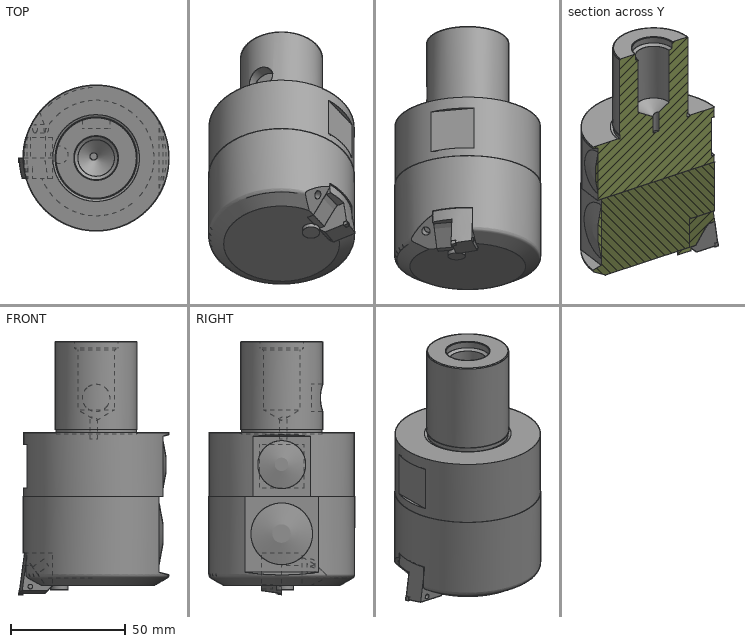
import cadquery as cq
import math


SHANK_RADIUS = 18.0
SHANK_LENGTH = 40.0
SHANK_CHAMFER = 0.4
NECK_RADIUS = 17.7
NECK_HEIGHT = 1.4
RELIEF_RADIUS = 19.0
RELIEF_DEPTH = 0.5
HOLDER_RADIUS = 31.85
HOLDER_LENGTH = 28.0

COUNTERBORE_RADIUS = 9.5
COUNTERBORE_DEPTH = 3.0
BORE_RADIUS = 8.0
BORE_DEPTH = 30.0
SEAT_ANGLE = 30.0
MOUTH_CHAMFER = 0.3
DRILL_POINT_ANGLE = 118.0
COOLANT_RADIUS = 1.6
COOLANT_X = -1.1
COOLANT_Y = 0.7
COOLANT_DEPTH = 8.0

LOCK_RADIUS = 6.0
LOCK_Z = 15.2
LOCK_DEPTH = 5.0

SQUARE_WIDTH = 19.3
SQUARE_TOP = -5.2
SQUARE_BOTTOM = -24.2

HEAD_RADIUS = 32.0
HEAD_TOP = -HOLDER_LENGTH
HEAD_BOTTOM = -67.0
HEAD_BEVEL_ANGLE = 60.0
HEAD_ROUND_TOP = -62.0
HEAD_ROUND_RADIUS = 2.0

FLAT_END_ANGLE = 15.0
HOLDER_FLAT_X = 29.3
HOLDER_FLAT_TOP = -1.6
HOLDER_DIAL_RADIUS = 10.5
HOLDER_DIAL_HEIGHT = 1.4
HOLDER_DIAL_Z = -14.0
HEAD_FLAT_X = 27.6
HEAD_FLAT_BOTTOM = -61.1
HEAD_DIAL_RADIUS = 13.5
HEAD_DIAL_HEIGHT = 1.75
HEAD_DIAL_Z = -44.3
DIAL_CONE_ANGLE = 10.5

SLOT_HALF_WIDTH = 8.95
SLOT_TOP = -52.7
SLOT_FLOOR_X = -19.0
CARTRIDGE_TOP_RADIUS = 31.4
CARTRIDGE_TIP_RADIUS = 33.8
TIP_Z = -71.0
CARTRIDGE_EDGE_Z = -70.5
CARTRIDGE_HEEL_Z = -69.2
PIN_HOLE_RADIUS = 1.0
PIN_HOLE_DEPTH = 5.0
PIN_HOLE_X = -28.8
PIN_HOLE_Z = -67.4

GULLET_X = -30.75
GULLET_Z = -54.6
GULLET_ANGLE = 35.0
ROOF_Z = -58.1
ROOF_CORNER_BEVEL = 1.7
NOZZLE_RADIUS = 1.8
NOZZLE_Y = 12.8
NOZZLE_Z = -60.3
NOZZLE_DEPTH = 6.0

TIP_OUTER_X = -34.05
TIP_LENGTH = 2.0
TIP_THICKNESS = 2.0
TIP_HEIGHT = 2.0
TIP_SETBACK = 0.4
SCREW_RADIUS = 3.8
SCREW_HEIGHT = 1.9
SCREW_X = -16.1
SCREW_Y = 1.4

REACH = 40.0


def box_between(x_range, y_range, z_range):
    """Box filling the given ranges of X, Y and Z."""
    sizes = [high - low for low, high in (x_range, y_range, z_range)]
    corner = (x_range[0], y_range[0], z_range[0])
    return cq.Workplane("XY").box(*sizes, centered=False).translate(corner)


def revolved(profile):
    """Turn an (X, Z) profile about the Z axis."""
    return profile.close().revolve(360, (0, 0, 0), (0, 1, 0))


def gullet_x(z):
    """X of the gullet plane at height z."""
    return GULLET_X + (GULLET_Z - z) * math.tan(math.radians(GULLET_ANGLE))


def make_dial_flat(flat_x, closed_z, open_z):
    """Cut for a +X flat that runs out at open_z and ends in a slope at closed_z."""
    depth = REACH - flat_x
    rise = math.copysign(depth * math.tan(math.radians(FLAT_END_ANGLE)), closed_z - open_z)
    return (
        cq.Workplane("XZ")
        .moveTo(flat_x, open_z)
        .lineTo(flat_x, closed_z)
        .lineTo(REACH, closed_z + rise)
        .lineTo(REACH, open_z)
        .close()
        .extrude(REACH, both=True)
    )


def make_bore():
    floor_z = SHANK_LENGTH - BORE_DEPTH
    point_depth = BORE_RADIUS / math.tan(math.radians(DRILL_POINT_ANGLE / 2))
    seat_outer_z = SHANK_LENGTH - COUNTERBORE_DEPTH
    seat_drop = (COUNTERBORE_RADIUS - BORE_RADIUS) * math.tan(math.radians(SEAT_ANGLE))
    bore = revolved(
        cq.Workplane("XZ")
        .moveTo(0, SHANK_LENGTH)
        .lineTo(COUNTERBORE_RADIUS + MOUTH_CHAMFER, SHANK_LENGTH)
        .lineTo(COUNTERBORE_RADIUS, SHANK_LENGTH - MOUTH_CHAMFER)
        .lineTo(COUNTERBORE_RADIUS, seat_outer_z)
        .lineTo(BORE_RADIUS, seat_outer_z - seat_drop)
        .lineTo(BORE_RADIUS, floor_z)
        .lineTo(0, floor_z - point_depth)
    )
    coolant_hole = (
        cq.Workplane("XY", origin=(COOLANT_X, COOLANT_Y, floor_z))
        .circle(COOLANT_RADIUS)
        .extrude(-point_depth - COOLANT_DEPTH)
    )
    return bore.union(coolant_hole)


def make_holder():
    holder = revolved(
        cq.Workplane("XZ")
        .moveTo(0, -HOLDER_LENGTH)
        .lineTo(HOLDER_RADIUS, -HOLDER_LENGTH)
        .lineTo(HOLDER_RADIUS, 0)
        .lineTo(RELIEF_RADIUS, 0)
        .lineTo(NECK_RADIUS, -RELIEF_DEPTH)
        .lineTo(NECK_RADIUS, NECK_HEIGHT)
        .lineTo(SHANK_RADIUS, NECK_HEIGHT)
        .lineTo(SHANK_RADIUS, SHANK_LENGTH - SHANK_CHAMFER)
        .lineTo(SHANK_RADIUS - SHANK_CHAMFER, SHANK_LENGTH)
        .lineTo(0, SHANK_LENGTH)
    )
    lock_hole = (
        cq.Workplane("XZ", origin=(0, SHANK_RADIUS - LOCK_DEPTH, LOCK_Z))
        .circle(LOCK_RADIUS)
        .extrude(-REACH)
    )
    half_width = SQUARE_WIDTH / 2
    square_x = -math.sqrt(HOLDER_RADIUS**2 - half_width**2)
    square_flat = box_between(
        (-REACH, square_x), (-half_width, half_width), (SQUARE_BOTTOM, SQUARE_TOP)
    )
    dial_flat = make_dial_flat(HOLDER_FLAT_X, HOLDER_FLAT_TOP, -HOLDER_LENGTH)
    return holder.cut(make_bore()).cut(lock_hole).cut(square_flat).cut(dial_flat)


def make_gullet():
    """Everything outside the sloping gullet plane, on the +Y side of the slot."""
    return (
        cq.Workplane("XZ", origin=(0, SLOT_HALF_WIDTH, 0))
        .moveTo(gullet_x(SLOT_TOP + REACH), SLOT_TOP + REACH)
        .lineTo(gullet_x(TIP_Z), TIP_Z)
        .lineTo(gullet_x(SLOT_TOP + REACH), TIP_Z)
        .close()
        .extrude(-REACH)
    )


def make_nozzle_hole():
    """Blind hole square to the gullet plane."""
    angle = math.radians(GULLET_ANGLE)
    inward = cq.Vector(math.cos(angle), 0, math.sin(angle))
    mouth = cq.Vector(gullet_x(NOZZLE_Z), NOZZLE_Y, NOZZLE_Z)
    start = mouth - inward * NOZZLE_RADIUS
    return cq.Workplane(
        cq.Solid.makeCylinder(NOZZLE_RADIUS, NOZZLE_DEPTH + NOZZLE_RADIUS, start, inward)
    )


def make_slot():
    return box_between(
        (-REACH, SLOT_FLOOR_X), (-SLOT_HALF_WIDTH, SLOT_HALF_WIDTH), (HEAD_BOTTOM, SLOT_TOP)
    )


def make_head():
    bevel = math.radians(HEAD_BEVEL_ANGLE)
    round_centre_x = HEAD_RADIUS - HEAD_ROUND_RADIUS
    round_end_x = round_centre_x + HEAD_ROUND_RADIUS * math.cos(bevel)
    round_end_z = HEAD_ROUND_TOP - HEAD_ROUND_RADIUS * math.sin(bevel)
    round_mid_x = round_centre_x + HEAD_ROUND_RADIUS * math.cos(bevel / 2)
    round_mid_z = HEAD_ROUND_TOP - HEAD_ROUND_RADIUS * math.sin(bevel / 2)
    bottom_radius = round_end_x - (round_end_z - HEAD_BOTTOM) * math.tan(bevel)
    head = revolved(
        cq.Workplane("XZ")
        .moveTo(0, HEAD_TOP)
        .lineTo(HEAD_RADIUS, HEAD_TOP)
        .lineTo(HEAD_RADIUS, HEAD_ROUND_TOP)
        .threePointArc((round_mid_x, round_mid_z), (round_end_x, round_end_z))
        .lineTo(bottom_radius, HEAD_BOTTOM)
        .lineTo(0, HEAD_BOTTOM)
    )
    dial_flat = make_dial_flat(HEAD_FLAT_X, HEAD_FLAT_BOTTOM, HEAD_TOP)
    return head.cut(dial_flat).cut(make_slot()).cut(make_gullet()).cut(make_nozzle_hole())


def make_dial(base_x, centre_z, radius, height):
    """Low cone with a flat top that lies on a +X flat."""
    top_radius = radius - height / math.tan(math.radians(DIAL_CONE_ANGLE))
    axis_point = cq.Vector(base_x, 0, centre_z)
    return cq.Workplane(cq.Solid.makeCone(radius, top_radius, height, axis_point, cq.Vector(1, 0, 0)))


def make_cartridge_notch():
    """Opening in front of the +Y half: the gullet plane behind, a flat roof, a bevel between."""
    bevel_end_z = ROOF_Z - ROOF_CORNER_BEVEL
    bevel_end_x = gullet_x(bevel_end_z)
    return (
        cq.Workplane("XZ")
        .moveTo(bevel_end_x, bevel_end_z)
        .lineTo(bevel_end_x - ROOF_CORNER_BEVEL, ROOF_Z)
        .lineTo(-REACH, ROOF_Z)
        .lineTo(-REACH, HEAD_BOTTOM)
        .lineTo(gullet_x(HEAD_BOTTOM), HEAD_BOTTOM)
        .close()
        .extrude(-SLOT_HALF_WIDTH)
    )


def make_cartridge_foot():
    """Part below the head: sloped underside towards -Y and a 45 degree inner end."""
    foot = (
        cq.Workplane("YZ", origin=(SLOT_FLOOR_X, 0, 0))
        .moveTo(0, HEAD_BOTTOM)
        .lineTo(-SLOT_HALF_WIDTH, HEAD_BOTTOM)
        .lineTo(-SLOT_HALF_WIDTH, CARTRIDGE_HEEL_Z)
        .lineTo(0, CARTRIDGE_EDGE_Z)
        .close()
        .extrude(-REACH)
    )
    drop = HEAD_BOTTOM - TIP_Z
    inner_end = (
        cq.Workplane("XZ")
        .moveTo(SLOT_FLOOR_X, HEAD_BOTTOM)
        .lineTo(SLOT_FLOOR_X, TIP_Z)
        .lineTo(SLOT_FLOOR_X - drop, TIP_Z)
        .close()
        .extrude(SLOT_HALF_WIDTH)
    )
    return foot.cut(inner_end)


def make_cartridge():
    outer_cone = revolved(
        cq.Workplane("XZ")
        .moveTo(0, SLOT_TOP)
        .lineTo(CARTRIDGE_TOP_RADIUS, SLOT_TOP)
        .lineTo(CARTRIDGE_TIP_RADIUS, TIP_Z)
        .lineTo(0, TIP_Z)
    )
    pin_hole = (
        cq.Workplane("XZ", origin=(PIN_HOLE_X, -SLOT_HALF_WIDTH, PIN_HOLE_Z))
        .circle(PIN_HOLE_RADIUS)
        .extrude(-PIN_HOLE_DEPTH)
    )
    block = make_slot().union(make_cartridge_foot()).intersect(outer_cone)
    return block.cut(make_cartridge_notch()).cut(pin_hole)


def make_tip():
    """Small cutting tip whose outer face leans back and whose underside rises towards -Y."""
    inner_x = TIP_OUTER_X + TIP_LENGTH
    tip = (
        cq.Workplane("XZ")
        .moveTo(TIP_OUTER_X, TIP_Z)
        .lineTo(inner_x, TIP_Z)
        .lineTo(inner_x, TIP_Z + TIP_HEIGHT)
        .lineTo(TIP_OUTER_X + TIP_SETBACK, TIP_Z + TIP_HEIGHT)
        .close()
        .extrude(TIP_THICKNESS)
    )
    underside_slope = (CARTRIDGE_HEEL_Z - CARTRIDGE_EDGE_Z) / SLOT_HALF_WIDTH
    relief = (
        cq.Workplane("YZ", origin=(-REACH, 0, 0))
        .moveTo(0, TIP_Z)
        .lineTo(-TIP_THICKNESS, TIP_Z)
        .lineTo(-TIP_THICKNESS, TIP_Z + TIP_THICKNESS * underside_slope)
        .close()
        .extrude(REACH)
    )
    return tip.cut(relief)


def make_screw():
    """Clamp screw head against the bottom of the head."""
    return (
        cq.Workplane("XY", origin=(SCREW_X, SCREW_Y, HEAD_BOTTOM))
        .circle(SCREW_RADIUS)
        .extrude(-SCREW_HEIGHT)
    )


holder = make_holder()
head = make_head()
dials = [
    make_dial(HOLDER_FLAT_X, HOLDER_DIAL_Z, HOLDER_DIAL_RADIUS, HOLDER_DIAL_HEIGHT),
    make_dial(HEAD_FLAT_X, HEAD_DIAL_Z, HEAD_DIAL_RADIUS, HEAD_DIAL_HEIGHT),
]
tip = make_tip()
screw = make_screw()
cartridge = make_cartridge().cut(tip).cut(screw)

result = cq.Compound.makeCompound(
    [holder.val(), head.val(), *[dial.val() for dial in dials], cartridge.val(), tip.val(), screw.val()]
)